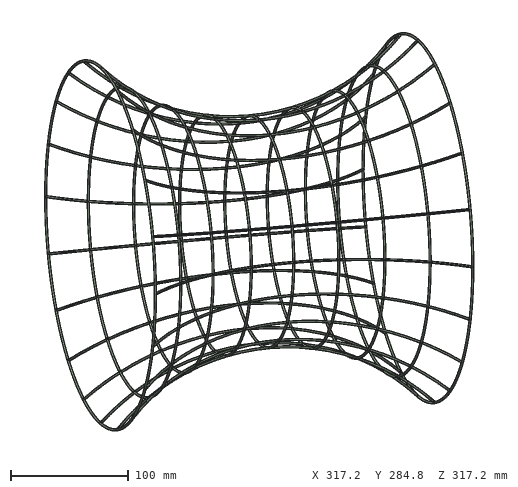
import cadquery as cq
import math

outer_diameter = 317.2
overall_length = 284.8
wire_diameter = 2.0
rib_count = 20
ring_count = 9
rib_arc_angle = 90.0
fuse_tolerance = 0.001

wire_radius = wire_diameter / 2
rib_pitch = 360 / rib_count
ring_pitch = rib_arc_angle / (ring_count - 1)
half_arc_angle = rib_arc_angle / 2

half_length = overall_length / 2 - wire_radius
arc_radius = half_length / math.sin(math.radians(half_arc_angle))
end_ring_radius = outer_diameter / 2 - wire_radius
waist_radius = end_ring_radius - arc_radius * (1 - math.cos(math.radians(half_arc_angle)))
arc_center_x = waist_radius + arc_radius


def half_rib():
    """The +Z half of the rib in the XY plane, cut square at both ends."""
    waist_to_end = (
        cq.Workplane("XZ", origin=(waist_radius, 0, 0))
        .moveTo(-wire_radius, 0)
        .threePointArc((0, wire_radius), (wire_radius, 0))
        .close()
        .revolve(rib_arc_angle, (arc_radius, 0), (arc_radius, 1))
    )
    return waist_to_end.rotate((arc_center_x, 0, 0), (arc_center_x, 0, 1), -half_arc_angle).val()


def half_bay_of_ring(angle):
    """Ring wire from the rib to half-way to the next one, `angle` degrees of rib arc from the waist."""
    ring_radius = arc_center_x - arc_radius * math.cos(math.radians(angle))
    ring_y = arc_radius * math.sin(math.radians(angle))
    section_plane = cq.Plane(origin=(ring_radius, ring_y, 0), xDir=(0, 1, 0), normal=(0, 0, 1))
    section = cq.Workplane(section_plane).circle(wire_radius)
    return section.revolve(rib_pitch / 2, (3.2, ring_radius), (0, ring_radius)).val()


ring_angles = [i * ring_pitch - half_arc_angle for i in range(ring_count)]
ring_pieces = [half_bay_of_ring(angle) for angle in ring_angles]
half_bay = half_rib().fuse(*ring_pieces, tol=fuse_tolerance)
bay = half_bay.fuse(half_bay.mirror("XY"), tol=fuse_tolerance)

axis_start = cq.Vector(0, 0, 0)
axis_end = cq.Vector(0, 1, 0)
bays = [bay.rotate(axis_start, axis_end, i * rib_pitch) for i in range(rib_count)]
cage = bays[0].fuse(*bays[1:], tol=fuse_tolerance)

result = cq.Workplane(cage.Solids()[0])